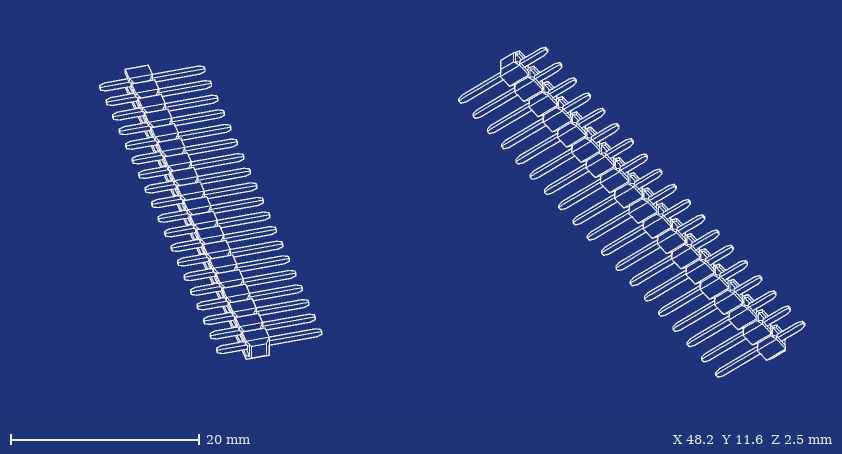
import cadquery as cq

pin_count = 19
row_length = 48.25
pitch = row_length / pin_count

body_depth = 2.55
body_height = 2.5
corner_chamfer = 0.46

channel_height = 1.4
channel_depth = 0.305

pin_width = 0.65
back_reach = 6.0
front_reach = 3.0
tip_width = 0.4
tip_length = 0.6

body_front = -body_depth / 2
body_back = body_depth / 2
pin_positions = [(i - (pin_count - 1) / 2) * pitch for i in range(pin_count)]


def chamfered_box(edge_selector):
    """Block-sized box with the four selected edges chamfered."""
    box = cq.Workplane("XY").box(pitch, body_depth, body_height)
    return box.edges(edge_selector).chamfer(corner_chamfer)


def housing_block(x):
    """Block with its vertical edges and its edges along Y chamfered."""
    return chamfered_box("|Z").intersect(chamfered_box("|Y")).translate((x, 0, 0))


def front_channel():
    """Bar that clears the channel over the whole row."""
    bar = cq.Workplane("XY").box(row_length, channel_depth, channel_height)
    return bar.translate((0, body_front + channel_depth / 2, 0))


def pin_tip(x, base_y, direction):
    """Square taper that starts at base_y and narrows along +Y (1) or -Y (-1)."""
    base_plane = cq.Plane(origin=(x, base_y, 0), xDir=(1, 0, 0), normal=(0, direction, 0))
    return (
        cq.Workplane(base_plane)
        .rect(pin_width, pin_width)
        .workplane(offset=tip_length)
        .rect(tip_width, tip_width)
        .loft(ruled=True)
    )


def pin(x):
    """Square pin through the housing, tapered at both ends."""
    shank_back = body_back + back_reach - tip_length
    shank_front = body_front - front_reach + tip_length
    shank = cq.Workplane("XY").box(pin_width, shank_back - shank_front, pin_width)
    shank = shank.translate((x, (shank_back + shank_front) / 2, 0))
    return shank.union(pin_tip(x, shank_back, 1)).union(pin_tip(x, shank_front, -1))


housing = housing_block(pin_positions[0])
for x in pin_positions[1:]:
    housing = housing.union(housing_block(x))

result = housing.cut(front_channel())
for x in pin_positions:
    result = result.union(pin(x))